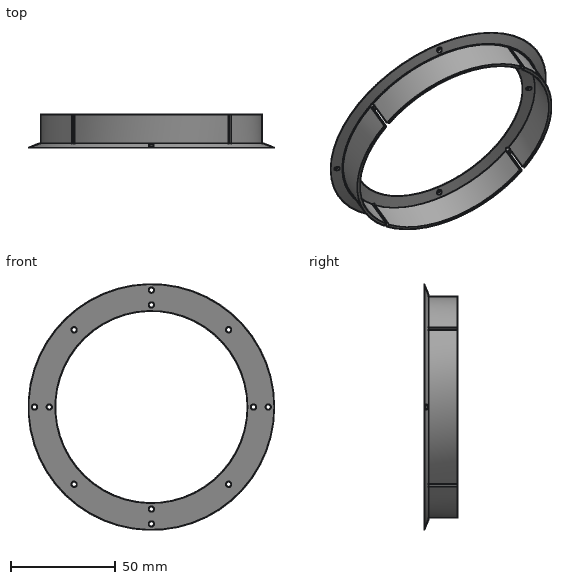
import cadquery as cq

outer_radius = 59.0
bore_radius = 46.0
flange_thickness = 2.1
flange_back_radius = 53.8

total_depth = 16.0
collar_outer_radius = 53.2
collar_wall = 1.5
collar_inner_radius = collar_outer_radius - collar_wall

hole_diameter = 2.5
inner_hole_circle = 49.0
outer_hole_circle = 56.0
diagonal_hole_circle = 52.4


def make_flange():
    """Annular plate with a conical rim and an undercut conical bore, revolved about the Y axis."""
    profile = cq.Workplane("XY").polyline([
        (bore_radius, 0),
        (outer_radius, 0),
        (flange_back_radius, flange_thickness),
        (collar_inner_radius, flange_thickness),
    ]).close()
    return profile.revolve(360, (0, 0, 0), (0, 1, 0))


def make_collar():
    """Thin cylindrical wall from the flange to the back of the part."""
    collar_depth = total_depth - flange_thickness
    back_plane = cq.Workplane("XZ", origin=(0, flange_thickness, 0))
    return (
        back_plane
        .circle(collar_outer_radius)
        .circle(collar_inner_radius)
        .extrude(-collar_depth)
    )


def make_holes(circle_radius, start_angle):
    """Four equally spaced drills through the full depth of the part."""
    return (
        cq.Workplane("XZ")
        .polarArray(circle_radius, start_angle, 360, 4)
        .circle(hole_diameter / 2)
        .extrude(-total_depth)
    )


result = make_flange().union(make_collar())
for hole_circle, first_angle in (
    (inner_hole_circle, 0),
    (outer_hole_circle, 0),
    (diagonal_hole_circle, 45),
):
    result = result.cut(make_holes(hole_circle, first_angle))